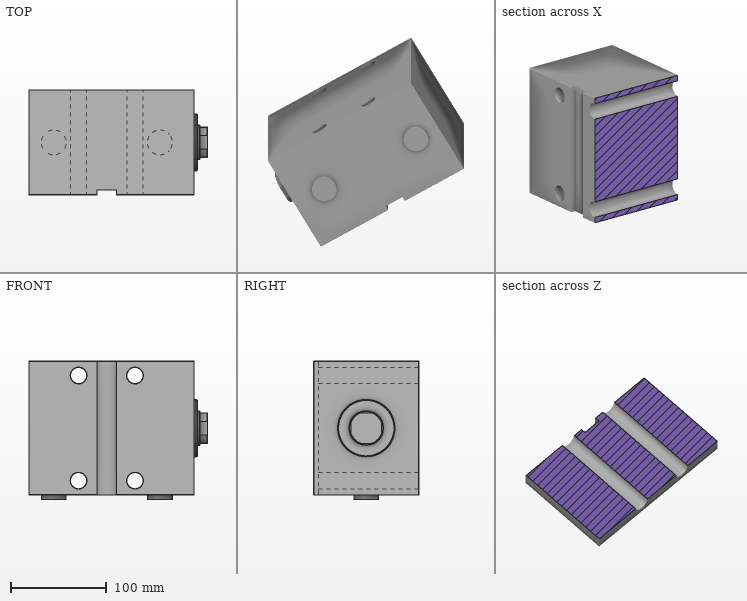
import cadquery as cq

HOUSING_LENGTH = 173.0
HOUSING_WIDTH = 110.0
HOUSING_HEIGHT = 140.0
FRONT_EDGE_CHAMFER = 0.3

KEYWAY_WIDTH = 20.0
KEYWAY_DEPTH = 5.0

BOLT_HOLE_DIAMETER = 17.0
BOLT_HOLE_XS = (52.0, 111.0)
BOLT_HOLE_EDGE_DISTANCE = 15.0
KEYWAY_CENTER_X = sum(BOLT_HOLE_XS) / len(BOLT_HOLE_XS)

PLUG_DIAMETER = 26.0
PLUG_HEIGHT = 4.9
PLUG_XS = (26.0, 137.0)

GLAND_DIAMETER = 60.0
GLAND_THICKNESS = 3.5
GLAND_CHAMFER_LENGTH = 1.5
GLAND_CHAMFER_DEPTH = 1.0

ROD_DIAMETER = 36.0
ROD_PROJECTION = 14.0
ROD_SHOULDER_PROJECTION = 6.0
ROD_SHOULDER_CHAMFER = 0.5
ROD_END_DIAMETER = 35.0
ROD_END_CHAMFER = 0.5
ROD_ACROSS_FLATS = 32.0

ROD_AXIS_Z = HOUSING_HEIGHT / 2


def make_housing():
    """Rectangular block with a vertical keyway in its -Y face and four through bolt holes along Y.

    The top and bottom edges of the -Y face are lightly chamfered.
    """
    front_y = -HOUSING_WIDTH / 2
    block = (
        cq.Workplane("XY")
        .box(HOUSING_LENGTH, HOUSING_WIDTH, HOUSING_HEIGHT, centered=(False, True, False))
        .faces("<Y")
        .edges(">Z or <Z")
        .chamfer(FRONT_EDGE_CHAMFER)
    )
    keyway = (
        cq.Workplane("XY")
        .center(KEYWAY_CENTER_X, front_y)
        .rect(KEYWAY_WIDTH, 2 * KEYWAY_DEPTH)
        .extrude(HOUSING_HEIGHT)
    )
    hole_zs = (BOLT_HOLE_EDGE_DISTANCE, HOUSING_HEIGHT - BOLT_HOLE_EDGE_DISTANCE)
    bolt_holes = (
        cq.Workplane("XZ", origin=(0, -front_y, 0))
        .pushPoints([(x, z) for x in BOLT_HOLE_XS for z in hole_zs])
        .circle(BOLT_HOLE_DIAMETER / 2)
        .extrude(HOUSING_WIDTH)
    )
    return block.cut(keyway).cut(bolt_holes)


def rod_axis_plane(projection):
    """Workplane facing +X, centred on the rod axis at a distance beyond the housing's end face."""
    return cq.Workplane("YZ", origin=(HOUSING_LENGTH + projection, 0, ROD_AXIS_Z))


def make_gland():
    """Chamfered ring on the housing's end face, bored to fit the rod."""
    return (
        rod_axis_plane(0)
        .circle(GLAND_DIAMETER / 2)
        .extrude(GLAND_THICKNESS)
        .faces(">X")
        .edges()
        .chamfer(GLAND_CHAMFER_LENGTH, GLAND_CHAMFER_DEPTH)
        .faces(">X")
        .workplane()
        .hole(ROD_DIAMETER)
    )


def make_rod():
    """Round rod ending in a slightly smaller head with four wrench flats."""
    shoulder = (
        rod_axis_plane(0)
        .circle(ROD_DIAMETER / 2)
        .extrude(ROD_SHOULDER_PROJECTION)
        .faces(">X")
        .edges()
        .chamfer(ROD_SHOULDER_CHAMFER)
    )
    head_length = ROD_PROJECTION - ROD_SHOULDER_PROJECTION
    head = (
        rod_axis_plane(ROD_SHOULDER_PROJECTION)
        .circle(ROD_END_DIAMETER / 2)
        .extrude(head_length)
        .faces(">X")
        .edges()
        .chamfer(ROD_END_CHAMFER)
    )
    flats = (
        rod_axis_plane(ROD_SHOULDER_PROJECTION)
        .rect(ROD_ACROSS_FLATS, ROD_ACROSS_FLATS)
        .extrude(head_length)
    )
    return shoulder.union(head.intersect(flats))


def make_plug(center_x):
    """Plain round plug seated on the underside of the housing."""
    return cq.Workplane("XY").center(center_x, 0).circle(PLUG_DIAMETER / 2).extrude(-PLUG_HEIGHT)


housing = make_housing()
gland = make_gland()
rod = make_rod()
plugs = [make_plug(x) for x in PLUG_XS]

result = cq.Compound.makeCompound(
    [housing.val(), gland.val(), rod.val(), *[plug.val() for plug in plugs]]
)